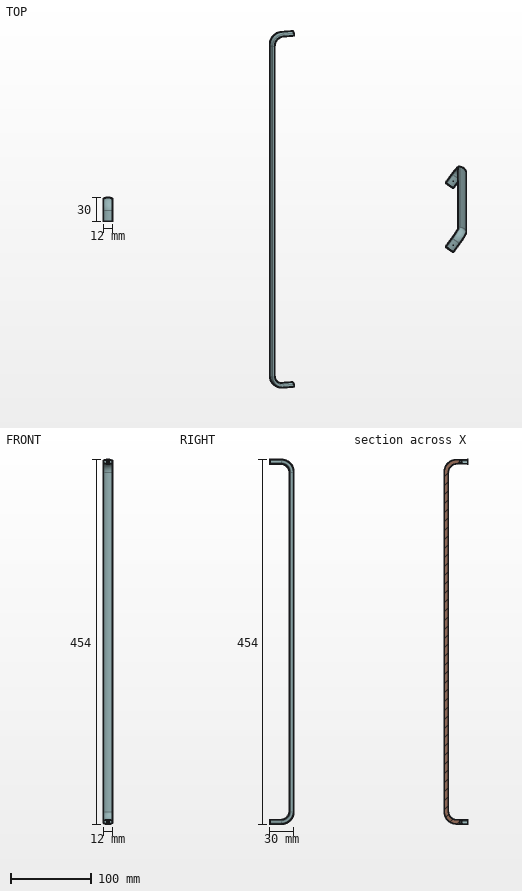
import cadquery as cq
import math

overall_height = 454.0
overall_depth = 30.0
bar_width = 12.0
bar_thickness = 6.0
face_radius = 10.0
outer_bend_radius = 16.0
hole_diameter = 3.3
hole_depth = 10.0
step_diameter = 2.5
step_depth = 7.5

half_width = bar_width / 2
half_thickness = bar_thickness / 2
bend_radius = outer_bend_radius - half_thickness
leg_z = overall_height / 2 - half_thickness
grip_y = overall_depth - half_thickness
grip_half_length = leg_z - bend_radius
leg_length = grip_y - bend_radius

face_centre_offset = face_radius - half_thickness
edge_radius = (face_radius**2 - half_width**2 - face_centre_offset**2) / (2 * (face_radius - half_width))
tangent_angle = math.asin((half_width - edge_radius) / (face_radius - edge_radius))
tangent_x = face_radius * math.sin(tangent_angle)
tangent_z = face_radius * math.cos(tangent_angle) - face_centre_offset


def centre_line():
    """Path from the lower leg's end face, up the grip, to the upper leg's end face."""
    return (
        cq.Workplane("YZ")
        .moveTo(0, -leg_z)
        .lineTo(leg_length, -leg_z)
        .tangentArcPoint((grip_y, -grip_half_length), relative=False)
        .lineTo(grip_y, grip_half_length)
        .tangentArcPoint((leg_length, leg_z), relative=False)
        .lineTo(0, leg_z)
    )


def bent_bar():
    """Four-arc oval section swept along the centre line."""
    section = (
        cq.Workplane("XZ", origin=(0, 0, -leg_z))
        .moveTo(-tangent_x, tangent_z)
        .threePointArc((0, half_thickness), (tangent_x, tangent_z))
        .threePointArc((half_width, 0), (tangent_x, -tangent_z))
        .threePointArc((0, -half_thickness), (-tangent_x, -tangent_z))
        .threePointArc((-half_width, 0), (-tangent_x, tangent_z))
        .close()
    )
    return section.sweep(centre_line())


def mounting_hole(z):
    """Blind stepped screw hole entering a leg from its end face."""
    end_face = cq.Workplane("XZ", origin=(0, 0, z))
    entry = end_face.circle(hole_diameter / 2).extrude(-step_depth)
    return entry.union(end_face.circle(step_diameter / 2).extrude(-hole_depth))


result = bent_bar()
for hole_z in (-leg_z, leg_z):
    result = result.cut(mounting_hole(hole_z))